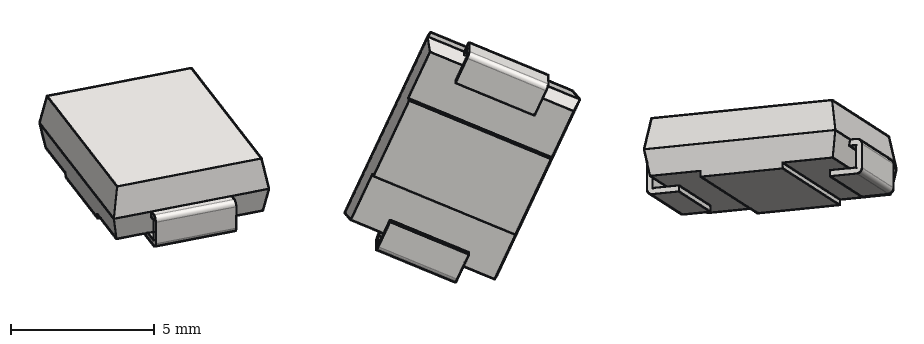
import cadquery as cq
import math

overall_length = 8.05
overall_height = 2.4

body_length = 7.165
body_width = 5.8
draft_angle = 10.0
parting_height = 1.25
body_underside = 0.31

pad_length = 3.075
pad_underside = 0.11

lead_width = 3.0
lead_thickness = 0.22
lead_bend_radius = 0.19
lead_foot_length = 1.2
lead_embed_depth = 0.32


def tapered_block(start_height, end_height):
    """Solid from the body outline at start_height, narrowing towards end_height."""
    rise = end_height - start_height
    return (
        cq.Workplane("XY")
        .workplane(offset=start_height)
        .rect(body_length, body_width)
        .extrude(rise, taper=draft_angle)
    )


def make_body():
    upper = tapered_block(parting_height, overall_height)

    lower = tapered_block(parting_height, pad_underside)
    end_relief_length = (body_length - pad_length) / 2
    end_relief_depth = body_underside - pad_underside
    for side in (-1, 1):
        end_relief = cq.Workplane("XY").box(end_relief_length, body_width, end_relief_depth).translate(
            (side * (pad_length + end_relief_length) / 2, 0, pad_underside + end_relief_depth / 2)
        )
        lower = lower.cut(end_relief)
    return upper.union(lower)


def make_left_lead():
    outer_x = -overall_length / 2
    inner_x = outer_x + lead_thickness
    foot_end_x = outer_x + lead_foot_length
    embedded_end_x = -body_length / 2 + lead_embed_depth
    bend_offset = lead_bend_radius * (1 - math.sqrt(0.5))
    profile = (
        cq.Workplane("XZ")
        .moveTo(embedded_end_x, parting_height)
        .lineTo(outer_x + lead_bend_radius, parting_height)
        .threePointArc(
            (outer_x + bend_offset, parting_height - bend_offset),
            (outer_x, parting_height - lead_bend_radius),
        )
        .lineTo(outer_x, lead_bend_radius)
        .threePointArc((outer_x + bend_offset, bend_offset), (outer_x + lead_bend_radius, 0))
        .lineTo(foot_end_x, 0)
        .lineTo(foot_end_x, lead_thickness)
        .lineTo(inner_x, lead_thickness)
        .lineTo(inner_x, parting_height - lead_thickness)
        .lineTo(embedded_end_x, parting_height - lead_thickness)
        .close()
    )
    return profile.extrude(lead_width / 2, both=True)


left_lead = make_left_lead()
right_lead = left_lead.mirror("YZ")
result = make_body().union(left_lead).union(right_lead)